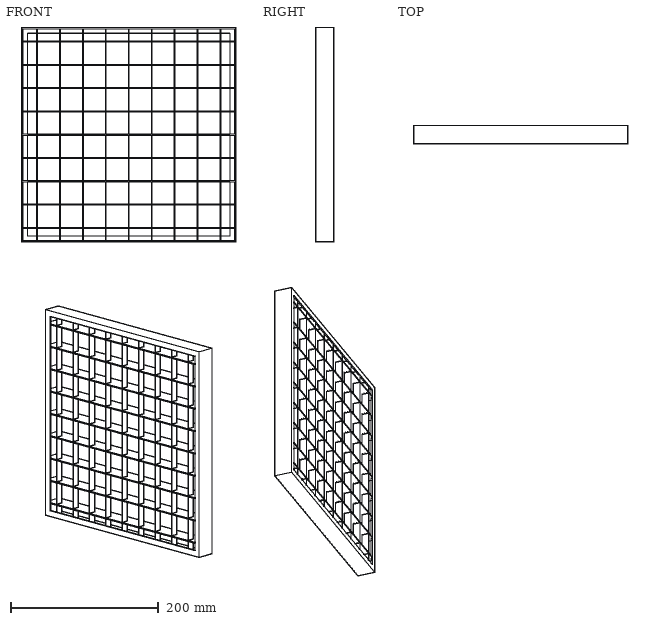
import cadquery as cq

SIDE = 290.0
DEPTH = 25.0
SHEET_THICKNESS = 2.0
FLANGE_WIDTH = 8.0

BLADE_COUNT = 9
BLADE_SPAN = 252.0
BLADE_THICKNESS = 1.5

RIB_COUNT = 9
RIB_SPAN = 248.0
RIB_THICKNESS = 1.0
RIB_DEPTH = 10.0

INNER_SIDE = SIDE - 2 * SHEET_THICKNESS
OPENING_SIDE = SIDE - 2 * FLANGE_WIDTH
FRONT_Y = -DEPTH / 2


def slab(width, height, depth, setback=0.0, x=0.0, z=0.0):
    """Block centred on (x, z), starting the given setback behind the front plane."""
    y = FRONT_Y + setback + depth / 2
    return cq.Workplane("XY").box(width, depth, height).translate((x, y, z))


def frame():
    """Square rim with an inward flange along its back edge."""
    rim = slab(SIDE, SIDE, DEPTH)
    pocket = slab(INNER_SIDE, INNER_SIDE, DEPTH - SHEET_THICKNESS)
    opening = slab(OPENING_SIDE, OPENING_SIDE, DEPTH)
    return rim.cut(pocket).cut(opening)


def spread(count, span):
    """Evenly spaced positions over the span, symmetric about the centre."""
    return [span * (i / (count - 1) - 0.5) for i in range(count)]


result = frame()

for blade_z in spread(BLADE_COUNT, BLADE_SPAN):
    blade = slab(INNER_SIDE, BLADE_THICKNESS, DEPTH, z=blade_z)
    result = result.union(blade)

for rib_x in spread(RIB_COUNT, RIB_SPAN):
    rib = slab(RIB_THICKNESS, INNER_SIDE, RIB_DEPTH, DEPTH - RIB_DEPTH, x=rib_x)
    result = result.union(rib)